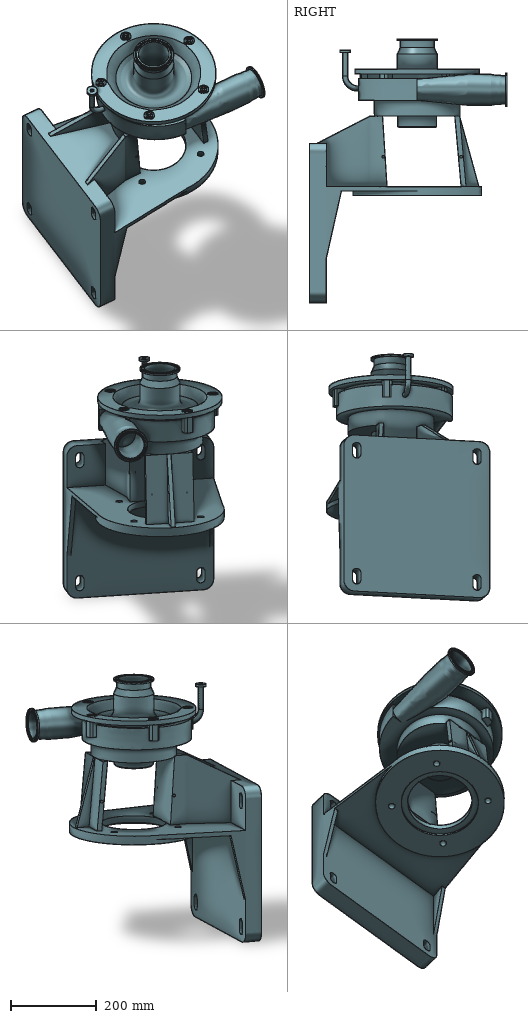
import cadquery as cq
import math


PLATE_WIDTH = 350.0
PLATE_HEIGHT = 372.0
PLATE_THICKNESS = 40.0
PLATE_FRONT_Y = -251.5
PLATE_BACK_Y = PLATE_FRONT_Y + PLATE_THICKNESS
PLATE_CORNER_RADIUS = 25.0
SLOT_SPACING_X = 289.0
SLOT_SPACING_Z = 300.0
SLOT_WIDTH = 19.5
SLOT_LENGTH = 37.0

BASE_TOP_Z = 271.0
BASE_THICKNESS = 10.5
PAD_THICKNESS = 21.0
PAD_RADIUS = 150.0
BASE_BORE_RADIUS = 75.0
PILOT_RADIUS = 90.0
PILOT_DEPTH = 5.5
BASE_BOLT_CIRCLE_RADIUS = 112.5
BASE_BOLT_COUNT = 4
BASE_BOLT_DIAMETER = 15.0
GUSSET_DEPTH = 35.0
GUSSET_BOTTOM_Z = 104.5
GUSSET_THICKNESS = 10.0

HUB_RADIUS = 100.0
HUB_BOTTOM_Z = 435.0
LEG_HALF_WIDTH = 56.5
FRONT_LEG_INNER_BOTTOM_Y = -70.0
FRONT_LEG_INNER_TOP_Y = -80.5
FRONT_LEG_OUTER_Y = -110.5
BACK_LEG_INNER_BOTTOM_Y = 102.0
BACK_LEG_INNER_TOP_Y = 87.0
BACK_LEG_THICKNESS = 11.5
BACK_RIB_BOTTOM_Y = 144.0
RIB_THICKNESS = 10.0
RIB_ANGLE = 15.0
RIB_END_Y = -233.5
RIB_END_HALF_WIDTH = 88.5
GUARD_HOLE_DIAMETER = 6.0
GUARD_HOLE_DEPTH = 15.0
GUARD_HOLE_Z = 340.5
FRONT_GUARD_HOLE_Y = -79.0
BACK_GUARD_HOLE_Y = 102.0

SHAFT_RADIUS = 45.5
SHAFT_BOTTOM_Z = 408.5
SHAFT_CHAMFER = 2.5

VOLUTE_BOTTOM_Z = 472.0
VOLUTE_TOP_Z = 523.0
VOLUTE_START_RADIUS = 120.5
VOLUTE_END_RADIUS = 144.5
VOLUTE_START_ANGLE = 90.0
VOLUTE_END_ANGLE = 360.0
SPIRAL_STEPS = 12
SPIGOT_RADIUS = 115.5

COVER_RADIUS = 145.0
COVER_BOTTOM_Z = 533.5
COVER_TOP_Z = 544.5
BOWL_RIM_RADIUS = 109.5
BOWL_RIM_CHAMFER = 2.5
BOWL_WALL_FOOT_RADIUS = 88.5
BOWL_FLOOR_OUTER_RADIUS = 77.0
BOWL_FLOOR_INNER_RADIUS = 65.0
BOWL_WALL_FOOT_Z = 523.5
BOWL_FLOOR_Z = 520.0

SCREW_COUNT = 5
SCREW_CIRCLE_RADIUS = 126.0
SCREW_RECESS_DIAMETER = 24.0
SCREW_RECESS_DEPTH = 3.0
SCREW_HEAD_DIAMETER = 15.0
SCREW_SOCKET_DIAMETER = 7.5
LUG_WIDTH = 24.0
LUG_CHAMFER = 5.5
LUG_OUTER_RADIUS = 137.5
LUG_OVERLAP = 6.0
LUG_BOTTOM_Z = 493.5

GASKET_GROOVE_WIDTH = 3.0
GASKET_GROOVE_DEPTH = 1.0
GASKET_GROOVE_EDGE = 3.5

INLET_RADIUS = 47.0
INLET_FOOT_Z = 541.0
INLET_CONE_BOTTOM_Z = 579.5
INLET_CONE_TOP_Z = 595.0
INLET_NECK_RADIUS = 40.0
INLET_FLANGE_RADIUS = 47.0
INLET_FLANGE_THICKNESS = 3.5
INLET_TOP_Z = 614.5
INLET_BORE_RADIUS = 35.5
INLET_BORE_BOTTOM_Z = 491.5

OUTLET_X = 115.0
OUTLET_Z = 496.5
OUTLET_END_Y = 209.5
OUTLET_RADIUS = 36.0
OUTLET_START_Y = 117.5
OUTLET_CONE_START_Y = 172.0
OUTLET_CONE_END_Y = 182.5
OUTLET_NECK_RADIUS = 34.5
OUTLET_FERRULE_RADIUS = 33.0
OUTLET_FERRULE_CONE_START_Y = 192.5
OUTLET_FERRULE_CONE_END_Y = 198.0
OUTLET_FLANGE_RADIUS = 39.5
OUTLET_FLANGE_THICKNESS = 3.5
OUTLET_BORE_RADIUS = 31.0
THROAT_RADIUS = 24.5
THROAT_X = 120.5

DRAIN_RADIUS = 6.0
DRAIN_BORE_RADIUS = 4.0
DRAIN_Y = -168.0
DRAIN_OUTLET_Z = 499.5
DRAIN_BEND_RADIUS = 29.0
DRAIN_TOP_Z = 588.5
DRAIN_FLANGE_RADIUS = 12.0
DRAIN_FLANGE_THICKNESS = 5.5


def cylinder(radius, bottom_z, top_z, x=0, y=0):
    return cq.Workplane("XY", origin=(x, y, bottom_z)).circle(radius).extrude(top_z - bottom_z)


def side_prism(points, half_width):
    """Outline of (Y, Z) points extruded to both sides of X = 0."""
    return cq.Workplane("YZ").polyline(points).close().extrude(half_width, both=True)


def plan_prism(points, bottom_z, top_z):
    """Outline of (X, Y) points extruded upward."""
    return cq.Workplane("XY", origin=(0, 0, bottom_z)).polyline(points).close().extrude(top_z - bottom_z)


def turned(points):
    """Outline of (radius, Z) points revolved about the pump axis."""
    return cq.Workplane("XZ").polyline(points).close().revolve(360, (0, 0, 0), (0, 1, 0))


def mirrored(shape):
    return shape.union(shape.mirror("YZ"))


def wall_plate():
    front = cq.Workplane("XZ", origin=(0, PLATE_BACK_Y, PLATE_HEIGHT / 2))
    plate = front.rect(PLATE_WIDTH, PLATE_HEIGHT).extrude(PLATE_THICKNESS)
    plate = plate.edges("|Y").fillet(PLATE_CORNER_RADIUS)
    slots = front.rect(SLOT_SPACING_X, SLOT_SPACING_Z, forConstruction=True).vertices()
    slots = slots.slot2D(SLOT_LENGTH, SLOT_WIDTH, 90).extrude(PLATE_THICKNESS)
    return plate.cut(slots)


def base_outline():
    return (
        cq.Workplane("XY", origin=(0, 0, BASE_TOP_Z))
        .moveTo(PAD_RADIUS, 0)
        .threePointArc((0, PAD_RADIUS), (-PAD_RADIUS, 0))
        .lineTo(-PLATE_WIDTH / 2, PLATE_BACK_Y)
        .lineTo(PLATE_WIDTH / 2, PLATE_BACK_Y)
        .close()
    )


def gussets():
    """Triangular plates below the two slanted edges of the base."""
    top_z = BASE_TOP_Z - BASE_THICKNESS
    triangle = side_prism(
        [(PLATE_BACK_Y, top_z), (PLATE_BACK_Y + GUSSET_DEPTH, top_z), (PLATE_BACK_Y, GUSSET_BOTTOM_Z)],
        PLATE_WIDTH / 2,
    )
    strip = plan_prism(
        [
            (PAD_RADIUS, 0),
            (PLATE_WIDTH / 2, PLATE_BACK_Y),
            (PLATE_WIDTH / 2 - GUSSET_THICKNESS, PLATE_BACK_Y),
            (PAD_RADIUS - GUSSET_THICKNESS, 0),
        ],
        GUSSET_BOTTOM_Z,
        top_z,
    )
    return mirrored(triangle.intersect(strip))


def motor_base():
    """Base plate with a round motor pad, whose bore opens into a wider pilot recess underneath."""
    pad_bottom_z = BASE_TOP_Z - PAD_THICKNESS
    base = base_outline().extrude(-BASE_THICKNESS)
    base = base.union(cylinder(PAD_RADIUS, pad_bottom_z, BASE_TOP_Z))
    base = base.cut(cylinder(BASE_BORE_RADIUS, pad_bottom_z, BASE_TOP_Z))
    base = base.cut(cylinder(PILOT_RADIUS, pad_bottom_z, pad_bottom_z + PILOT_DEPTH))
    bolt_holes = (
        cq.Workplane("XY", origin=(0, 0, BASE_TOP_Z))
        .polarArray(BASE_BOLT_CIRCLE_RADIUS, 45, 360, BASE_BOLT_COUNT)
        .circle(BASE_BOLT_DIAMETER / 2)
        .extrude(-PAD_THICKNESS)
    )
    return base.cut(bolt_holes).union(gussets())


def front_leg():
    """Curved web with two splayed ribs, and the solid deck between them level with the plate."""
    splay = math.tan(math.radians(RIB_ANGLE))
    rib_width_x = RIB_THICKNESS / math.cos(math.radians(RIB_ANGLE))
    leg_outer_x = RIB_END_HALF_WIDTH - splay * (FRONT_LEG_OUTER_Y - RIB_END_Y)
    inner_end_x = RIB_END_HALF_WIDTH - rib_width_x
    inner_start_x = inner_end_x - splay * (FRONT_LEG_INNER_BOTTOM_Y - RIB_END_Y)
    rib = plan_prism(
        [
            (inner_start_x, FRONT_LEG_INNER_BOTTOM_Y),
            (leg_outer_x, FRONT_LEG_INNER_BOTTOM_Y),
            (leg_outer_x, FRONT_LEG_OUTER_Y),
            (RIB_END_HALF_WIDTH, RIB_END_Y),
            (inner_end_x, RIB_END_Y),
        ],
        BASE_TOP_Z,
        HUB_BOTTOM_Z,
    )
    deck = plan_prism(
        [
            (inner_start_x, FRONT_LEG_INNER_BOTTOM_Y),
            (inner_end_x, RIB_END_Y),
            (-inner_end_x, RIB_END_Y),
            (-inner_start_x, FRONT_LEG_INNER_BOTTOM_Y),
        ],
        BASE_TOP_Z,
        PLATE_HEIGHT,
    )
    web = cylinder(HUB_RADIUS, BASE_TOP_Z, HUB_BOTTOM_Z).intersect(
        cq.Workplane("XY", origin=(0, -HUB_RADIUS, BASE_TOP_Z)).box(
            2 * inner_start_x + rib_width_x, 2 * HUB_RADIUS, HUB_BOTTOM_Z - BASE_TOP_Z, (True, True, False)
        )
    )
    profile = side_prism(
        [
            (FRONT_LEG_INNER_BOTTOM_Y, BASE_TOP_Z),
            (FRONT_LEG_INNER_TOP_Y, HUB_BOTTOM_Z),
            (FRONT_LEG_OUTER_Y, HUB_BOTTOM_Z),
            (RIB_END_Y, PLATE_HEIGHT),
            (RIB_END_Y, BASE_TOP_Z),
        ],
        RIB_END_HALF_WIDTH,
    )
    return mirrored(rib).union(deck).union(web).intersect(profile)


def back_leg():
    """Leaning flat plate stiffened by one central rib."""
    outer_bottom = (BACK_LEG_INNER_BOTTOM_Y + BACK_LEG_THICKNESS, BASE_TOP_Z)
    outer_top = (BACK_LEG_INNER_TOP_Y + BACK_LEG_THICKNESS, HUB_BOTTOM_Z)
    inner_bottom = (BACK_LEG_INNER_BOTTOM_Y, BASE_TOP_Z)
    inner_top = (BACK_LEG_INNER_TOP_Y, HUB_BOTTOM_Z)
    rib_bottom = (BACK_RIB_BOTTOM_Y, BASE_TOP_Z)
    plate = side_prism([inner_bottom, inner_top, outer_top, outer_bottom], LEG_HALF_WIDTH)
    rib = side_prism([inner_bottom, inner_top, outer_top, rib_bottom], RIB_THICKNESS / 2)
    return plate.union(rib)


def guard_holes():
    """Blind holes in the side faces of both legs."""
    holes = (
        cq.Workplane("YZ", origin=(LEG_HALF_WIDTH - GUARD_HOLE_DEPTH, 0, 0))
        .pushPoints([(FRONT_GUARD_HOLE_Y, GUARD_HOLE_Z), (BACK_GUARD_HOLE_Y, GUARD_HOLE_Z)])
        .circle(GUARD_HOLE_DIAMETER / 2)
        .extrude(GUARD_HOLE_DEPTH)
    )
    return mirrored(holes)


def hub_and_shaft():
    hub = cylinder(HUB_RADIUS, HUB_BOTTOM_Z, VOLUTE_BOTTOM_Z)
    shaft = cylinder(SHAFT_RADIUS, SHAFT_BOTTOM_Z, HUB_BOTTOM_Z).faces("<Z").chamfer(SHAFT_CHAMFER)
    return hub.union(shaft)


def spiral_point(fraction):
    angle = math.radians(VOLUTE_START_ANGLE + fraction * (VOLUTE_END_ANGLE - VOLUTE_START_ANGLE))
    radius = VOLUTE_START_RADIUS + fraction * (VOLUTE_END_RADIUS - VOLUTE_START_RADIUS)
    return radius * math.cos(angle), radius * math.sin(angle)


def volute():
    """Casing whose radius grows evenly around to the outlet, closed by an arc behind the outlet."""
    spiral = (
        cq.Workplane("XY", origin=(0, 0, VOLUTE_BOTTOM_Z))
        .moveTo(0, VOLUTE_START_RADIUS)
        .spline([spiral_point(i / SPIRAL_STEPS) for i in range(1, SPIRAL_STEPS + 1)], includeCurrent=True)
        .lineTo(VOLUTE_START_RADIUS, 0)
        .radiusArc((0, VOLUTE_START_RADIUS), -VOLUTE_START_RADIUS)
        .close()
        .extrude(VOLUTE_TOP_Z - VOLUTE_BOTTOM_Z)
    )
    return spiral.union(cylinder(SPIGOT_RADIUS, VOLUTE_TOP_Z, COVER_BOTTOM_Z))


def bowl_recess():
    """Ring-shaped recess in the cover, with a concave foot around the inlet tube."""
    foot_width = BOWL_FLOOR_INNER_RADIUS - INLET_RADIUS
    foot_height = INLET_FOOT_Z - BOWL_FLOOR_Z
    foot_middle = (
        BOWL_FLOOR_INNER_RADIUS - foot_width * math.sqrt(0.5),
        INLET_FOOT_Z - foot_height * math.sqrt(0.5),
    )
    return (
        cq.Workplane("XZ")
        .moveTo(INLET_RADIUS, COVER_TOP_Z)
        .lineTo(INLET_RADIUS, INLET_FOOT_Z)
        .threePointArc(foot_middle, (BOWL_FLOOR_INNER_RADIUS, BOWL_FLOOR_Z))
        .lineTo(BOWL_FLOOR_OUTER_RADIUS, BOWL_FLOOR_Z)
        .lineTo(BOWL_WALL_FOOT_RADIUS, BOWL_WALL_FOOT_Z)
        .lineTo(BOWL_RIM_RADIUS - BOWL_RIM_CHAMFER, COVER_TOP_Z - BOWL_RIM_CHAMFER)
        .lineTo(BOWL_RIM_RADIUS, COVER_TOP_Z)
        .close()
        .revolve(360, (0, 0, 0), (0, 1, 0))
    )


def gasket_groove(flange_face, flange_radius):
    """Ring cut into a flange face, starting from a workplane that looks out of the flange."""
    outer_radius = flange_radius - GASKET_GROOVE_EDGE
    ring = flange_face.circle(outer_radius).circle(outer_radius - GASKET_GROOVE_WIDTH)
    return ring.extrude(-GASKET_GROOVE_DEPTH)


def inlet_tube():
    neck_top_z = INLET_TOP_Z - INLET_FLANGE_THICKNESS
    tube = turned(
        [
            (0, COVER_TOP_Z),
            (INLET_RADIUS, COVER_TOP_Z),
            (INLET_RADIUS, INLET_CONE_BOTTOM_Z),
            (INLET_NECK_RADIUS, INLET_CONE_TOP_Z),
            (INLET_NECK_RADIUS, neck_top_z),
            (INLET_FLANGE_RADIUS, neck_top_z),
            (INLET_FLANGE_RADIUS, INLET_TOP_Z),
            (0, INLET_TOP_Z),
        ]
    )
    flange_face = cq.Workplane("XY", origin=(0, 0, INLET_TOP_Z))
    return tube.cut(gasket_groove(flange_face, INLET_FLANGE_RADIUS))


def lug():
    """Chamfered post below the cover at one screw, reaching inward to the casing."""
    length = LUG_OUTER_RADIUS - SPIGOT_RADIUS + LUG_OVERLAP
    return (
        cq.Workplane("XY", origin=(LUG_OUTER_RADIUS - length / 2, 0, LUG_BOTTOM_Z))
        .box(length, LUG_WIDTH, COVER_BOTTOM_Z - LUG_BOTTOM_Z, (True, True, False))
        .edges("|Z and >X")
        .chamfer(LUG_CHAMFER)
    )


def screw_recess():
    """Counterbore around one socket-head screw."""
    floor_z = COVER_TOP_Z - SCREW_RECESS_DEPTH
    recess = cylinder(SCREW_RECESS_DIAMETER / 2, floor_z, COVER_TOP_Z, SCREW_CIRCLE_RADIUS)
    head = cylinder(SCREW_HEAD_DIAMETER / 2, floor_z, COVER_TOP_Z, SCREW_CIRCLE_RADIUS)
    socket = cylinder(SCREW_SOCKET_DIAMETER / 2, floor_z, COVER_TOP_Z, SCREW_CIRCLE_RADIUS)
    return recess.cut(head).union(socket)


def around_cover(shape):
    """Copies of a shape at every screw, the first one on the -X side."""
    copies = [
        shape.rotate((0, 0, 0), (0, 0, 1), 180 + i * 360 / SCREW_COUNT).val() for i in range(SCREW_COUNT)
    ]
    return cq.Workplane(obj=cq.Compound.makeCompound(copies))


def pump_head():
    """Volute and cover with lugs, bowl, screws and the bored inlet tube."""
    cover = cylinder(COVER_RADIUS, COVER_BOTTOM_Z, COVER_TOP_Z)
    head = volute().union(cover).union(around_cover(lug())).cut(bowl_recess())
    head = head.union(inlet_tube()).cut(around_cover(screw_recess()))
    return head.cut(cylinder(INLET_BORE_RADIUS, INLET_BORE_BOTTOM_Z, INLET_TOP_Z))


def outlet():
    """Tapered throat leaving the volute, then a turned tube with a neck and a flange."""
    neck_end_y = OUTLET_END_Y - OUTLET_FLANGE_THICKNESS
    tube = (
        cq.Workplane("XY", origin=(OUTLET_X, 0, OUTLET_Z))
        .polyline(
            [
                (0, OUTLET_START_Y),
                (OUTLET_RADIUS, OUTLET_START_Y),
                (OUTLET_RADIUS, OUTLET_CONE_START_Y),
                (OUTLET_NECK_RADIUS, OUTLET_CONE_END_Y),
                (OUTLET_NECK_RADIUS, OUTLET_FERRULE_CONE_START_Y),
                (OUTLET_FERRULE_RADIUS, OUTLET_FERRULE_CONE_END_Y),
                (OUTLET_FERRULE_RADIUS, neck_end_y),
                (OUTLET_FLANGE_RADIUS, neck_end_y),
                (OUTLET_FLANGE_RADIUS, OUTLET_END_Y),
                (0, OUTLET_END_Y),
            ]
        )
        .close()
        .revolve(360, (0, 0, 0), (0, 1, 0))
    )
    throat = (
        cq.Workplane("XZ", origin=(0, 0, OUTLET_Z))
        .center(THROAT_X, 0)
        .circle(THROAT_RADIUS)
        .workplane(offset=-OUTLET_START_Y)
        .center(OUTLET_X - THROAT_X, 0)
        .circle(OUTLET_RADIUS)
        .loft()
    )
    flange_face = cq.Workplane("ZX", origin=(OUTLET_X, OUTLET_END_Y, OUTLET_Z))
    return throat.union(tube).cut(gasket_groove(flange_face, OUTLET_FLANGE_RADIUS))


def outlet_bore():
    start = cq.Workplane("XZ", origin=(OUTLET_X, OUTLET_END_Y, OUTLET_Z))
    return start.circle(OUTLET_BORE_RADIUS).extrude(OUTLET_END_Y - OUTLET_START_Y)


def drain_pipe():
    """Pipe leaving the casing toward -Y and bending upward to an open flange."""
    bend_start_y = DRAIN_Y + DRAIN_BEND_RADIUS
    bend_top_z = DRAIN_OUTLET_Z + DRAIN_BEND_RADIUS
    bend_middle = (
        bend_start_y - DRAIN_BEND_RADIUS * math.sqrt(0.5),
        bend_top_z - DRAIN_BEND_RADIUS * math.sqrt(0.5),
    )
    path = (
        cq.Workplane("YZ")
        .moveTo(-SPIGOT_RADIUS, DRAIN_OUTLET_Z)
        .lineTo(bend_start_y, DRAIN_OUTLET_Z)
        .threePointArc(bend_middle, (DRAIN_Y, bend_top_z))
        .lineTo(DRAIN_Y, DRAIN_TOP_Z)
    )
    pipe = (
        cq.Workplane("XZ", origin=(0, -SPIGOT_RADIUS, DRAIN_OUTLET_Z)).circle(DRAIN_RADIUS).sweep(path)
    )
    flange = cylinder(
        DRAIN_FLANGE_RADIUS, DRAIN_TOP_Z - DRAIN_FLANGE_THICKNESS, DRAIN_TOP_Z, 0, DRAIN_Y
    )
    bore = cylinder(DRAIN_BORE_RADIUS, bend_top_z, DRAIN_TOP_Z, 0, DRAIN_Y)
    return pipe.union(flange).cut(bore)


bracket = wall_plate().union(motor_base()).union(front_leg()).union(back_leg()).cut(guard_holes())
pump = hub_and_shaft().union(pump_head()).union(outlet()).union(drain_pipe()).cut(outlet_bore())
result = bracket.union(pump)